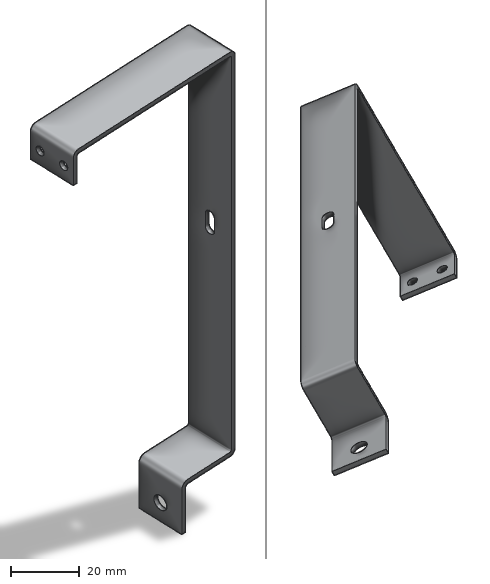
import cadquery as cq

strip_width = 17.5
thickness = 1.6
inner_bend_radius = 0.7
outer_bend_radius = inner_bend_radius + thickness
foot_inner_radius = 1.0
foot_outer_radius = foot_inner_radius + thickness

total_height = 168.7
top_depth = 67.0
lip_height = 12.5
shelf_depth = 22.1
foot_height = 19.2

lip_hole_diameter = 3.2
lip_hole_spacing = 9.6
lip_hole_drop = 7.3
slot_length = 8.5
slot_width = 3.7
slot_drop = 68.8
foot_hole_diameter = 5.2
foot_hole_height = 6.9

top = total_height / 2
bottom = -total_height / 2
front = -top_depth / 2
back = top_depth / 2
shelf_top = bottom + foot_height
foot_front = back - shelf_depth


def bend_profile():
    """Sharp-cornered strip profile in the YZ plane, extruded across the width."""
    points = [
        (front, top - lip_height),
        (front, top),
        (back, top),
        (back, shelf_top - thickness),
        (foot_front + thickness, shelf_top - thickness),
        (foot_front + thickness, bottom),
        (foot_front, bottom),
        (foot_front, shelf_top),
        (back - thickness, shelf_top),
        (back - thickness, top - thickness),
        (front + thickness, top - thickness),
        (front + thickness, top - lip_height),
    ]
    return cq.Workplane("YZ").polyline(points).close().extrude(strip_width / 2, both=True)


def round_corners(body, corners, radius):
    """Fillet the edges along X that pass through the given (y, z) corners."""
    for y, z in corners:
        body = body.edges(cq.selectors.NearestToPointSelector((0, y, z))).fillet(radius)
    return body


def wall_plane(y, z):
    """Plane on the front face of an upright wall, with local Y along Z."""
    return cq.Workplane("XZ", origin=(0, y, z))


outer_corners = [
    (front, top),
    (back, top),
    (back, shelf_top - thickness),
]
inner_corners = [
    (front + thickness, top - thickness),
    (back - thickness, top - thickness),
    (back - thickness, shelf_top),
]
foot_outer_corner = (foot_front, shelf_top)
foot_inner_corner = (foot_front + thickness, shelf_top - thickness)

bracket = bend_profile()
bracket = round_corners(bracket, outer_corners, outer_bend_radius)
bracket = round_corners(bracket, inner_corners, inner_bend_radius)
bracket = round_corners(bracket, [foot_outer_corner], foot_outer_radius)
bracket = round_corners(bracket, [foot_inner_corner], foot_inner_radius)

lip_holes = (
    wall_plane(front, top - lip_hole_drop)
    .pushPoints([(-lip_hole_spacing / 2, 0), (lip_hole_spacing / 2, 0)])
    .circle(lip_hole_diameter / 2)
    .extrude(-thickness)
)

slot = (
    wall_plane(back - thickness, top - slot_drop)
    .slot2D(slot_length, slot_width, 90)
    .extrude(-thickness)
)

foot_hole = (
    wall_plane(foot_front, bottom + foot_hole_height)
    .circle(foot_hole_diameter / 2)
    .extrude(-thickness)
)

result = bracket.cut(lip_holes).cut(slot).cut(foot_hole)